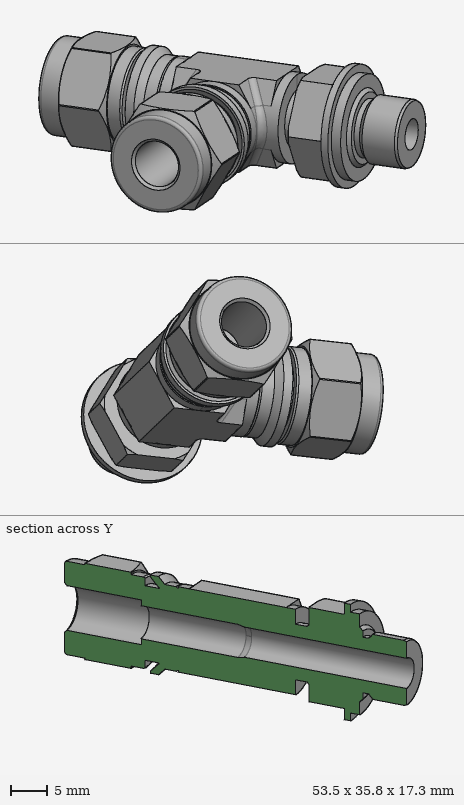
import cadquery as cq
import math


BODY_WIDTH = 12.7
BLOCK_REACH = 7.6
BODY_REACH = 9.05
CORNER_RADIUS = 1.0

ARM_LENGTH = 27.14
ARM_BODY_REACH = 9.34
COLLAR_DIAMETER = 12.6
COLLAR_BEVEL_LENGTH = 0.3
COLLAR_BEVEL_DEPTH = 0.2
FLANGE_DIAMETER = 14.6
FLANGE_CONE_START = 11.4
FLANGE_RIM_START = 12.4
FLANGE_END = 13.7
FLANGE_LIP_DIAMETER = 13.9
NECK_DIAMETER = 11.11
SKIRT_DIAMETER = 13.6
SKIRT_START = 14.45
SKIRT_BEVEL_LENGTH = 0.3
SKIRT_BEVEL_DEPTH = 0.15
NUT_START = 16.64
NUT_END = 23.95
NUT_WIDTH = 14.29
NUT_CORNER_DIAMETER = 16.4
NUT_FACE_DIAMETER = 14.1
NOSE_DIAMETER = 13.9
NOSE_ROUND = 0.5

STUD_LENGTH = 26.4
STUD_NECK_DIAMETER = 8.3
THREAD_DIAMETER = 9.7
THREAD_TIP_DIAMETER = 9.4
THREAD_TIP_LENGTH = 0.4
INNER_THREAD_START = 10.8
OUTER_THREAD_START = 20.4
LOCKNUT_START = 11.1
LOCKNUT_END = 16.6
LOCKNUT_WIDTH = 14.0
LOCKNUT_FACE_DIAMETER = 15.0
WASHER_DIAMETER = 17.3
WASHER_END = 17.65
RETAINER_DIAMETER = 15.0
RETAINER_END = 19.06
SEAL_DIAMETER = 11.5
SEAL_END = 19.57
SEAL_CHAMFER = 0.7

TUBE_BORE = 6.55
TUBE_BORE_DEPTH = 12.0
TUBE_BORE_CHAMFER = 0.4
ARM_BORE = 4.83
STUD_BORE = 4.4
BORE_TAPER_LENGTH = 1.0

HEX_HALF_ANGLE = math.radians(30)
NUT_CHAMFER_ANGLE = math.radians(30)


def turned(profile):
    """Solid of revolution about X from (x, radius) points."""
    first_x = profile[0][0]
    last_x = profile[-1][0]
    outline = [(first_x, 0)] + profile + [(last_x, 0)]
    return cq.Workplane("XY").polyline(outline).close().revolve(360, (0, 0), (1, 0))


def rod(start, end, diameter):
    return turned([(start, diameter / 2), (end, diameter / 2)])


def hex_nut(start, end, width, face_diameter, corner_diameter):
    """Hexagon along X with flats facing +Z and -Z, and both ends coned down to face_diameter."""
    hexagon = (
        cq.Workplane("YZ", origin=(start, 0, 0))
        .polygon(6, width / math.cos(HEX_HALF_ANGLE))
        .extrude(end - start)
    )
    face_radius = face_diameter / 2
    corner_radius = corner_diameter / 2
    cone_length = (corner_radius - face_radius) * math.tan(NUT_CHAMFER_ANGLE)
    envelope = turned([
        (start, face_radius),
        (start + cone_length, corner_radius),
        (end - cone_length, corner_radius),
        (end, face_radius),
    ])
    return hexagon.intersect(envelope)


def as_run_arm(shape):
    return shape.rotate((0, 0, 0), (0, 0, 1), 180)


def as_branch(shape):
    return shape.rotate((0, 0, 0), (0, 0, 1), -90)


def block_half(start, end, has_ridge):
    """The +Y half of a block along X: sloped hexagon faces that meet in a ridge, or a round side."""
    radius = BODY_WIDTH / 2
    flat_edge = radius * math.tan(HEX_HALF_ANGLE)
    ridge = radius / math.cos(HEX_HALF_ANGLE)
    tangent_y = radius * math.cos(HEX_HALF_ANGLE)
    tangent_z = radius * math.sin(HEX_HALF_ANGLE)
    outline = cq.Workplane("YZ", origin=(start, 0, 0)).moveTo(0, -radius).lineTo(flat_edge, -radius)
    if has_ridge:
        outline = outline.lineTo(ridge, 0)
    else:
        outline = outline.lineTo(tangent_y, -tangent_z)
        outline = outline.threePointArc((radius, 0), (tangent_y, tangent_z))
    outline = outline.lineTo(flat_edge, radius).lineTo(0, radius).close()
    return outline.extrude(end - start)


def make_boss(end, sweep):
    """Round boss on the block, from the +Z side round the -Y side for sweep degrees.

    Its rim is split where the flats of the block touch it.
    """
    radius = BODY_WIDTH / 2
    top = 90
    flat_step = 60

    def rim(degrees):
        angle = math.radians(degrees)
        return (radius * math.cos(angle), radius * math.sin(angle))

    outline = cq.Workplane("YZ", origin=(BLOCK_REACH, 0, 0)).moveTo(*rim(top))
    for touch in range(top, top + sweep, flat_step):
        outline = outline.threePointArc(rim(touch + flat_step / 2), rim(touch + flat_step))
    return outline.close().extrude(end - BLOCK_REACH)


def make_body():
    """Tee-shaped block with a ridge along its back and round bosses on its three ends."""
    back = block_half(-BLOCK_REACH, BLOCK_REACH, True)
    front = block_half(-BLOCK_REACH, BLOCK_REACH, False).mirror("XZ")
    branch_side = block_half(0, BLOCK_REACH, False)
    branch = as_branch(branch_side.union(branch_side.mirror("XZ")))
    block = front.union(branch)
    margin = 0.1
    corner_box = cq.selectors.BoxSelector(
        (-BLOCK_REACH + margin, -BLOCK_REACH + margin, -BODY_WIDTH),
        (BLOCK_REACH - margin, -margin, BODY_WIDTH),
    )
    block = block.edges(corner_box).edges("not(|X or |Y)").fillet(CORNER_RADIUS)
    stud_half_boss = make_boss(BODY_REACH, 180)
    arm_half_boss = make_boss(ARM_BODY_REACH, 180).mirror("YZ")
    body = block.union(stud_half_boss).union(arm_half_boss).union(back)
    body = body.union(as_branch(make_boss(ARM_BODY_REACH, 360)))
    return body.union(stud_half_boss.mirror("XZ")).union(arm_half_boss.mirror("XZ"))


def make_tube_end():
    """Dished flange, neck and nut of one tube end, pointing to +X."""
    collar_radius = COLLAR_DIAMETER / 2
    flange_radius = FLANGE_DIAMETER / 2
    skirt_radius = SKIRT_DIAMETER / 2
    neck_radius = NECK_DIAMETER / 2
    dish_depth = FLANGE_LIP_DIAMETER / 2 - neck_radius
    flange = turned([
        (ARM_BODY_REACH, collar_radius - COLLAR_BEVEL_DEPTH),
        (ARM_BODY_REACH + COLLAR_BEVEL_LENGTH, collar_radius),
        (FLANGE_CONE_START, collar_radius),
        (FLANGE_RIM_START, flange_radius),
        (FLANGE_END, flange_radius),
        (FLANGE_END, FLANGE_LIP_DIAMETER / 2),
        (FLANGE_END - dish_depth, neck_radius),
    ])
    neck = rod(FLANGE_CONE_START, SKIRT_START, NECK_DIAMETER)
    skirt = turned([
        (SKIRT_START, skirt_radius - SKIRT_BEVEL_DEPTH),
        (SKIRT_START + SKIRT_BEVEL_LENGTH, skirt_radius),
        (NUT_START, skirt_radius),
    ])
    nut = hex_nut(NUT_START, NUT_END, NUT_WIDTH, NUT_FACE_DIAMETER, NUT_CORNER_DIAMETER)
    nose = rod(NUT_END, ARM_LENGTH, NOSE_DIAMETER).faces(">X").edges().fillet(NOSE_ROUND)
    return flange.union(neck).union(skirt).union(nut).union(nose)


def make_stud_end():
    """Threaded stud with locknut, washer, retainer and seal, pointing to +X."""
    neck_radius = STUD_NECK_DIAMETER / 2
    thread_radius = THREAD_DIAMETER / 2
    thread_rise = thread_radius - neck_radius
    stud = turned([
        (BODY_REACH, neck_radius),
        (INNER_THREAD_START, neck_radius),
        (INNER_THREAD_START + thread_rise, thread_radius),
        (LOCKNUT_END, thread_radius),
        (LOCKNUT_END, neck_radius),
        (OUTER_THREAD_START, neck_radius),
        (OUTER_THREAD_START + thread_rise, thread_radius),
        (STUD_LENGTH - THREAD_TIP_LENGTH, thread_radius),
        (STUD_LENGTH, THREAD_TIP_DIAMETER / 2),
    ])
    locknut_corners = LOCKNUT_WIDTH / math.cos(HEX_HALF_ANGLE)
    locknut = hex_nut(LOCKNUT_START, LOCKNUT_END, LOCKNUT_WIDTH, LOCKNUT_FACE_DIAMETER, locknut_corners)
    washer = rod(LOCKNUT_END, WASHER_END, WASHER_DIAMETER)
    retainer = rod(WASHER_END, RETAINER_END, RETAINER_DIAMETER)
    seal = rod(WASHER_END, SEAL_END, SEAL_DIAMETER).faces(">X").edges().chamfer(SEAL_CHAMFER)
    return stud.union(locknut).union(washer).union(retainer).union(seal)


def make_tube_bore():
    """Cutting shape for one tube end, pointing to +X: chamfered tube socket and narrower bore."""
    tube_radius = TUBE_BORE / 2
    socket_floor = ARM_LENGTH - TUBE_BORE_DEPTH
    return turned([
        (0, ARM_BORE / 2),
        (socket_floor, ARM_BORE / 2),
        (socket_floor, tube_radius),
        (ARM_LENGTH - TUBE_BORE_CHAMFER, tube_radius),
        (ARM_LENGTH, tube_radius + TUBE_BORE_CHAMFER),
    ])


def make_stud_bore():
    """Cutting shape for the stud end, narrowing from the arm bore at the origin."""
    return turned([
        (0, ARM_BORE / 2),
        (BORE_TAPER_LENGTH, STUD_BORE / 2),
        (STUD_LENGTH, STUD_BORE / 2),
    ])


tube_end = make_tube_end()
tube_bore = make_tube_bore()

result = make_body()
for end_part in (as_run_arm(tube_end), as_branch(tube_end), make_stud_end()):
    result = result.union(end_part)
for bore in (as_run_arm(tube_bore), as_branch(tube_bore), make_stud_bore()):
    result = result.cut(bore)